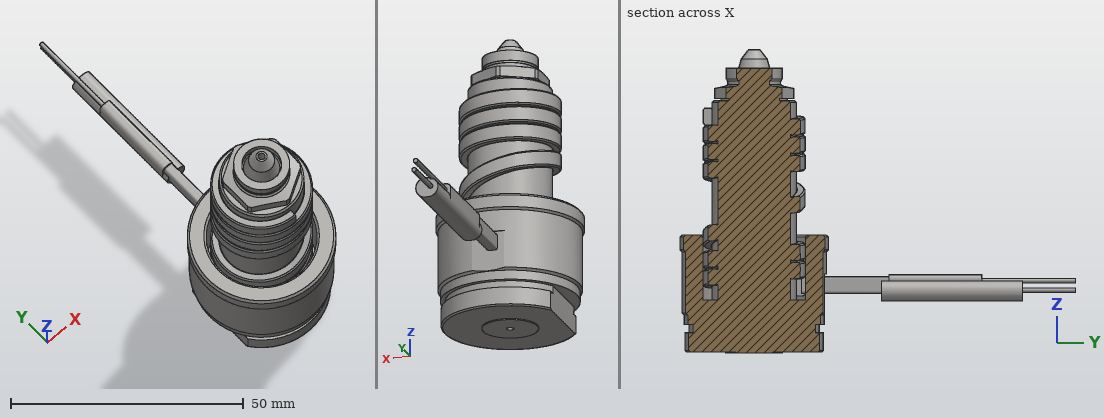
import cadquery as cq
import math

total_height = 65.2
rear_reach = 69.0
hole_radius = 0.8

spigot_radius = 6.1
spigot_height = 0.25
foot_radius = 14.9
foot_chamfer = 0.3
foot_top = 4.4
groove_radius = 14.0
groove_top = 6.1
wrench_flat_offset = 12.0

lip_radius = 15.05
lip_top = 8.2
housing_radius = 15.55
housing_chamfer = housing_radius - lip_radius
collar_radius = 16.0
collar_bottom = 22.3
collar_chamfer = 0.5
housing_top = 25.4
rear_flat_offset = 15.1
rear_flat_top = 17.0
pocket_bore_radius = 11.9
pocket_chamfer = 0.5
pocket_floor = 11.5

barrel_radius = 9.1
barrel_top = 54.2
barrel_chamfer = 0.4

neck_radius = 7.1
hex_bottom = 54.65
hex_edge_top = 56.9
hex_flats = 15.1
hex_corner_radius = 8.5
hex_face_top = 57.4
hex_face_radius = 6.1
hex_cone_top = 57.7
throat_radius = 5.7
throat_top = 58.5
shoulder_radius = 5.9
ring_radius = 6.0
ring_bottom = 58.9
ring_top = 61.2
recess_radius = 4.25
recess_depth = 1.7
tip_base_radius = 3.9
tip_shoulder_radius = 2.8
tip_shoulder_height = 63.15
tip_end_radius = 1.45
tip_end_bevel = 0.25

coil_radius = 11.0
coil_height = 3.6
coil_sink = 0.2
coil_corner = 0.3
coil_top_center = 50.8
coil_top_angle = 270
close_pitch = 3.9
upper_turns = 3.05
steep_turns = 1.15
steep_extra_drop = 11.3
lower_turns = 2.3
steep_steps = 6
join_tolerance = 0.001
coil_inner_radius = barrel_radius - coil_sink
coil_middle_radius = (coil_inner_radius + coil_radius) / 2

cable_x = -0.85
cable_z = 14.6
cable_width = 2.4
cable_height = 3.65
cable_corner = 0.5
cable_start = 10.2
sheath_x = -1.0
sheath_z = 14.6
sheath_width = 3.0
sheath_height = 4.5
sheath_corner = 1.0
sheath_start = 28.9
sheath_end = 48.9
sleeve_z = 13.35
sleeve_width = 5.0
sleeve_height = 4.3
sleeve_corner = 2.1
sleeve_start = 27.3
sleeve_end = 57.6
wire_radius = 0.5
wire_centers = [(-1.2, 15.55), (-0.85, 13.5)]


def revolve(points):
    """Turn a closed (radius, height) outline about the Z axis."""
    return cq.Workplane("XZ").polyline(points).close().revolve(360, (0, 0), (0, 1))


def rod(radius, bottom, top):
    return cq.Workplane("XY").workplane(offset=bottom).circle(radius).extrude(top - bottom)


def base():
    foot = revolve([
        (0, 0),
        (spigot_radius, 0),
        (spigot_radius, spigot_height),
        (foot_radius - foot_chamfer, spigot_height),
        (foot_radius, spigot_height + foot_chamfer),
        (foot_radius, foot_top),
        (groove_radius, foot_top),
        (groove_radius, groove_top),
        (0, groove_top),
    ])
    keep = cq.Workplane("XY").box(
        wrench_flat_offset + foot_radius, 2 * foot_radius, groove_top, centered=(False, True, False)
    )
    return foot.intersect(keep.translate((-wrench_flat_offset, 0, 0)))


def housing():
    shell = revolve([
        (0, groove_top),
        (lip_radius, groove_top),
        (lip_radius, lip_top),
        (housing_radius, lip_top + housing_chamfer),
        (housing_radius, collar_bottom - collar_chamfer),
        (collar_radius, collar_bottom),
        (collar_radius, housing_top - collar_chamfer),
        (collar_radius - collar_chamfer, housing_top),
        (pocket_bore_radius + pocket_chamfer, housing_top),
        (pocket_bore_radius, housing_top - pocket_chamfer),
        (pocket_bore_radius, pocket_floor),
        (0, pocket_floor),
    ])
    rear_cut = cq.Workplane("XY").box(
        2 * housing_radius, housing_radius, rear_flat_top - groove_top, centered=(True, False, False)
    )
    return shell.cut(rear_cut.translate((0, rear_flat_offset, groove_top)))


def barrel():
    body = rod(barrel_radius, groove_top, barrel_top).faces(">Z").chamfer(barrel_chamfer)
    return body.union(rod(neck_radius, barrel_top, hex_bottom))


def hex_nut():
    across_corners = hex_flats / math.cos(math.pi / 6)
    prism = (
        cq.Workplane("XY").workplane(offset=hex_bottom)
        .transformed(rotate=(0, 0, 30))
        .polygon(6, across_corners)
        .extrude(hex_cone_top - hex_bottom)
    )
    envelope = revolve([
        (0, hex_bottom),
        (hex_corner_radius, hex_bottom),
        (hex_corner_radius, hex_edge_top),
        (hex_face_radius, hex_face_top),
        (throat_radius, hex_cone_top),
        (0, hex_cone_top),
    ])
    return prism.intersect(envelope)


def nozzle():
    return revolve([
        (0, hex_cone_top),
        (throat_radius, hex_cone_top),
        (throat_radius, throat_top),
        (shoulder_radius, throat_top),
        (shoulder_radius, ring_bottom),
        (ring_radius, ring_bottom),
        (ring_radius, ring_top),
        (recess_radius, ring_top),
        (recess_radius, ring_top - recess_depth),
        (tip_base_radius, ring_top - recess_depth),
        (tip_shoulder_radius, tip_shoulder_height),
        (tip_end_radius, total_height - tip_end_bevel),
        (tip_end_radius - tip_end_bevel, total_height),
        (0, total_height),
    ])


def coil_stretch(top_angle, top_center, turns, drop):
    """Flat strip wound downward from a height and angle at a constant pitch."""
    path = cq.Wire.makeHelix(drop / turns, drop, coil_middle_radius)
    section = cq.Sketch().rect(coil_radius - coil_inner_radius, coil_height).vertices().chamfer(coil_corner)
    strip = (
        cq.Workplane("XZ").center(coil_middle_radius, 0)
        .placeSketch(section)
        .sweep(cq.Workplane(path), isFrenet=True)
    )
    bottom_angle = top_angle - 360 * turns
    return strip.rotate((0, 0, 0), (0, 0, 1), bottom_angle).translate((0, 0, top_center - drop))


def eased(share):
    """Smooth rise from 0 to 1 that starts and ends level."""
    return (1 - math.cos(math.pi * share)) / 2


def heater_coil():
    """List of strips, from the top down."""
    step_turns = steep_turns / steep_steps
    windings = [(upper_turns, close_pitch * upper_turns)]
    for step in range(steep_steps):
        extra = eased((step + 1) / steep_steps) - eased(step / steep_steps)
        windings.append((step_turns, close_pitch * step_turns + steep_extra_drop * extra))
    windings.append((lower_turns, close_pitch * lower_turns))

    strips = []
    angle = coil_top_angle
    center = coil_top_center
    for turns, drop in windings:
        strips.append(coil_stretch(angle, center, turns, drop))
        angle -= 360 * turns
        center -= drop
    return strips


def bar_along_y(width, height, corner, center, start, end):
    """Rounded bar parallel to Y, centred on an (x, z) position."""
    bar = cq.Workplane("XY").box(width, end - start, height).edges("|Y").fillet(corner)
    return bar.translate((center[0], (start + end) / 2, center[1]))


def lead():
    cable = bar_along_y(
        cable_width, cable_height, cable_corner, (cable_x, cable_z), cable_start, sheath_end
    )
    sheath = bar_along_y(
        sheath_width, sheath_height, sheath_corner, (sheath_x, sheath_z), sheath_start, sheath_end
    )
    sleeve = bar_along_y(
        sleeve_width, sleeve_height, sleeve_corner, (0, sleeve_z), sleeve_start, sleeve_end
    )
    bundle = cable.union(sheath).union(sleeve)
    for x, z in wire_centers:
        wire = cq.Workplane("XZ", origin=(x, sheath_start, z)).circle(wire_radius)
        bundle = bundle.union(wire.extrude(sheath_start - rear_reach))
    return bundle


result = base().union(housing()).union(barrel()).union(hex_nut()).union(nozzle())
for stretch in heater_coil():
    result = result.union(stretch, tol=join_tolerance)
result = result.union(lead()).cut(rod(hole_radius, 0, total_height))